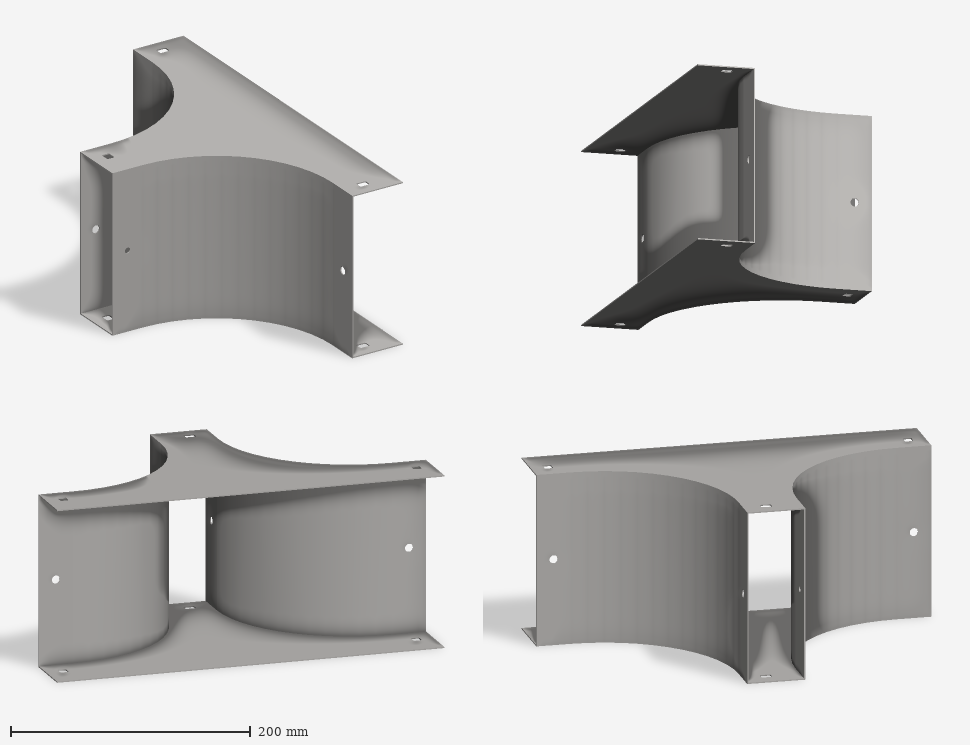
import cadquery as cq
import math

length = 340.0
height = 150.0
duct_width = 50.0
bend_radius = 115.0
sheet = 1.0

end_offset = 15.0
slot_back_offset = 30.0
branch_slot_x = -5.0
slot_width = 7.0
slot_length = 9.2
slot_corner = 1.5
wall_hole = 7.0
small_wall_hole = 5.0

half_length = length / 2
half_branch = duct_width / 2
end_straight = half_length - half_branch - bend_radius
depth = duct_width + bend_radius + end_straight
back_y = depth / 2
front_y = -depth / 2
run_front_y = back_y - duct_width
bend_end_y = front_y + end_straight
bend_end_x = half_branch + bend_radius
run_hole_x = half_length - end_offset
branch_hole_y = front_y + end_offset


def tee_plate(thickness, z):
    """Tee outline with both inside corners swept by the bend radius."""
    diagonal = bend_radius * math.sqrt(0.5)
    mid_x = bend_end_x - diagonal
    mid_y = bend_end_y + diagonal
    return (
        cq.Workplane("XY", origin=(0, 0, z))
        .moveTo(-half_length, back_y)
        .lineTo(half_length, back_y)
        .lineTo(half_length, run_front_y)
        .lineTo(bend_end_x, run_front_y)
        .threePointArc((mid_x, mid_y), (half_branch, bend_end_y))
        .lineTo(half_branch, front_y)
        .lineTo(-half_branch, front_y)
        .lineTo(-half_branch, bend_end_y)
        .threePointArc((-mid_x, mid_y), (-bend_end_x, run_front_y))
        .lineTo(-half_length, run_front_y)
        .close()
        .extrude(thickness)
    )


def curved_wall(side):
    """Upright sheet following one inside corner; side is -1 for -X, +1 for +X."""
    inner_radius = bend_radius + sheet
    outer_diagonal = bend_radius * math.sqrt(0.5)
    inner_diagonal = inner_radius * math.sqrt(0.5)
    inner_x = half_branch - sheet
    inner_y = run_front_y + sheet
    outer_mid = (side * (bend_end_x - outer_diagonal), bend_end_y + outer_diagonal)
    inner_mid = (side * (bend_end_x - inner_diagonal), bend_end_y + inner_diagonal)
    return (
        cq.Workplane("XY", origin=(0, 0, -height / 2))
        .moveTo(side * half_length, run_front_y)
        .lineTo(side * bend_end_x, run_front_y)
        .threePointArc(outer_mid, (side * half_branch, bend_end_y))
        .lineTo(side * half_branch, front_y)
        .lineTo(side * inner_x, front_y)
        .lineTo(side * inner_x, bend_end_y)
        .threePointArc(inner_mid, (side * bend_end_x, inner_y))
        .lineTo(side * half_length, inner_y)
        .close()
        .extrude(height)
    )


def plate_slots():
    """Round-cornered slot cutters through both plates."""
    base = cq.Workplane("XY", origin=(0, 0, -height / 2))
    run_y = back_y - slot_back_offset
    run = (
        base.pushPoints([(-run_hole_x, run_y), (run_hole_x, run_y)])
        .rect(slot_width, slot_length)
        .extrude(height)
    )
    branch = (
        base.center(branch_slot_x, branch_hole_y)
        .rect(slot_length, slot_width)
        .extrude(height)
    )
    return run.union(branch).edges("|Z").fillet(slot_corner)


def run_wall_holes():
    """Hole cutters along Y through the two walls of the run."""
    return (
        cq.Workplane("XZ", origin=(0, run_front_y, 0))
        .pushPoints([(-run_hole_x, 0), (run_hole_x, 0)])
        .circle(wall_hole / 2)
        .extrude(sheet * 2, both=True)
    )


def branch_wall_hole(side, diameter):
    """Hole cutter along X through one wall of the branch."""
    return (
        cq.Workplane("YZ", origin=(side * half_branch, branch_hole_y, 0))
        .circle(diameter / 2)
        .extrude(sheet * 2, both=True)
    )


result = (
    tee_plate(sheet, -height / 2)
    .union(tee_plate(sheet, height / 2 - sheet))
    .union(curved_wall(-1))
    .union(curved_wall(1))
    .cut(plate_slots())
    .cut(run_wall_holes())
    .cut(branch_wall_hole(-1, wall_hole))
    .cut(branch_wall_hole(1, small_wall_hole))
)